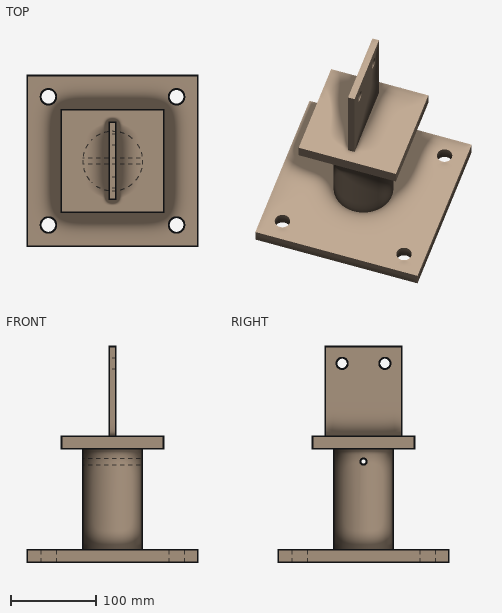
import cadquery as cq

total_height = 253.0
base_side = 200.0
cap_side = 120.0
plate_thickness = 15.0

tab_thickness = 8.0
tab_width = 90.0
tab_height = 105.0
tab_hole_diameter = 13.0
tab_hole_spacing = 50.0
tab_hole_drop = 20.0

column_diameter = 70.0
column_height = total_height - 2 * plate_thickness - tab_height
vent_diameter = 7.0
vent_drop = 15.0

anchor_diameter = 18.0
anchor_spacing = 150.0

column_top = plate_thickness + column_height
cap_top = column_top + plate_thickness


def square_plate(side, bottom):
    return (
        cq.Workplane("XY")
        .workplane(offset=bottom)
        .rect(side, side)
        .extrude(plate_thickness)
    )


def cross_holes(points, diameter, length):
    """Cylinders along X, centred on X = 0, at the given (y, z) points."""
    return (
        cq.Workplane("YZ")
        .pushPoints(points)
        .circle(diameter / 2)
        .extrude(length / 2, both=True)
    )


base = (
    square_plate(base_side, 0)
    .faces(">Z")
    .workplane()
    .rect(anchor_spacing, anchor_spacing, forConstruction=True)
    .vertices()
    .hole(anchor_diameter)
)

column = (
    cq.Workplane("XY")
    .workplane(offset=plate_thickness)
    .circle(column_diameter / 2)
    .extrude(column_height)
)
vent_points = [(0, column_top - vent_drop)]
column = column.cut(cross_holes(vent_points, vent_diameter, 2 * column_diameter))

cap = square_plate(cap_side, column_top)

tab = (
    cq.Workplane("XY")
    .workplane(offset=cap_top)
    .rect(tab_thickness, tab_width)
    .extrude(tab_height)
)
tab_hole_points = [
    (side * tab_hole_spacing / 2, total_height - tab_hole_drop) for side in (-1, 1)
]
tab = tab.cut(cross_holes(tab_hole_points, tab_hole_diameter, 2 * tab_thickness))

result = base.union(column).union(cap).union(tab)